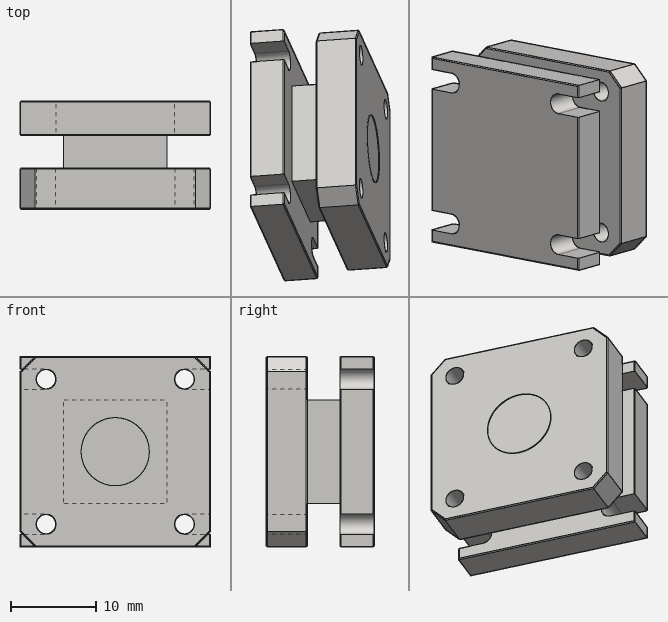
import cadquery as cq

side = 22.35
front_thickness = 4.83
neck_length = 3.81
back_thickness = 4.06
neck_side = 12.19

corner_chamfer = 1.78
edge_chamfer = 0.13

hole_diameter = 2.26
slot_width = 2.37
hole_spacing_x = 16.26
hole_spacing_z = 17.02

recess_diameter = 8.0
recess_depth = 0.1

depth = front_thickness + neck_length + back_thickness
front_face_y = -depth / 2
neck_start_y = front_face_y + front_thickness
back_start_y = neck_start_y + neck_length


def plane_at(y):
    """Sketch plane facing +Y with local x along +X and local y along -Z."""
    return cq.Workplane(cq.Plane(origin=(0, y, 0), xDir=(1, 0, 0), normal=(0, 1, 0)))


def square_plate(size, thickness, start_y):
    return plane_at(start_y).rect(size, size).extrude(thickness)


def break_face_edges(plate):
    """Chamfer the outlines of both flat faces of a plate."""
    return plate.faces("<Y or >Y").edges().chamfer(edge_chamfer)


def make_front_flange():
    plate = square_plate(side, front_thickness, front_face_y)
    plate = plate.edges("|Y").chamfer(corner_chamfer)
    plate = break_face_edges(plate)
    holes = (
        plane_at(front_face_y)
        .rarray(hole_spacing_x, hole_spacing_z, 2, 2)
        .circle(hole_diameter / 2)
        .extrude(front_thickness)
    )
    recess = plane_at(front_face_y).circle(recess_diameter / 2).extrude(recess_depth)
    return plate.cut(holes).cut(recess)


def make_slot(x_sign, z_sign):
    """Slot with a round inner end at a hole axis, open through the flange side."""
    x_center = x_sign * hole_spacing_x / 2
    z_center = z_sign * hole_spacing_z / 2
    reach = side / 2
    round_end = plane_at(back_start_y).center(x_center, -z_center).circle(slot_width / 2)
    channel = (
        plane_at(back_start_y)
        .center(x_center + x_sign * reach / 2, -z_center)
        .rect(reach, slot_width)
    )
    return round_end.extrude(back_thickness).union(channel.extrude(back_thickness))


def make_back_flange():
    plate = break_face_edges(square_plate(side, back_thickness, back_start_y))
    for x_sign in (-1, 1):
        for z_sign in (-1, 1):
            plate = plate.cut(make_slot(x_sign, z_sign))
    return plate


neck = square_plate(neck_side, neck_length, neck_start_y)
result = make_front_flange().union(neck).union(make_back_flange())